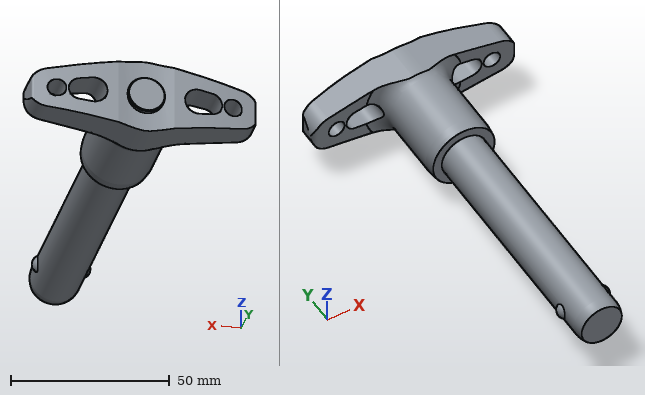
import cadquery as cq
import math


shank_length = 84.0
shank_radius = 8.15
tip_length = 3.5
tip_radius = 7.4
tip_mid_radius = 8.0

ball_radius = 2.9
ball_reach = 9.45
ball_from_tip = 11.4

collar_radius = 11.75
collar_rim_radius = 11.5
collar_face_radius = 11.3
collar_chamfer_length = 1.5
collar_taper_start = 3.8
collar_neck_start = 25.4

button_back = 42.2
button_radius = 6.0
button_edge_chamfer = 0.3

handle_half_length = 37.4
handle_middle_radius = 12.33
handle_end_radius = 6.9
handle_end_center = handle_half_length - handle_end_radius

valley_back = button_back - 1.65
valley_half_width = 9.0
valley_edge_back = button_back - 0.55
hump_mid_x = 22.3
hump_mid_back = button_back - 1.45
shoulder_x = 36.2
shoulder_back = button_back - 3.95
shoulder_round = 0.8

end_front = button_back - 12.35
middle_front = button_back - 11.4
front_corner_radius = 1.8
end_widest_back = end_front + 2.1

neck_radius = 17.9
neck_height = 5.2
neck_overlap = 1.0

small_hole_x = 28.5
small_hole_radius = 2.95
slot_inner_x = 16.85
slot_inner_radius = 4.3
slot_outer_x = 21.1
slot_outer_radius = 3.7


def tapered_outline(plane, near_x, near_radius, far_x, far_radius):
    """Outline of two circles on the X axis joined by their outer tangents."""
    tilt = math.asin((near_radius - far_radius) / (far_x - near_x))
    sine = math.sin(tilt)
    cosine = math.cos(tilt)
    near_tangent = (near_x + near_radius * sine, near_radius * cosine)
    far_tangent = (far_x + far_radius * sine, far_radius * cosine)
    return (
        plane.moveTo(*near_tangent)
        .lineTo(*far_tangent)
        .threePointArc((far_x + far_radius, 0), (far_tangent[0], -far_tangent[1]))
        .lineTo(near_tangent[0], -near_tangent[1])
        .threePointArc((near_x - near_radius, 0), near_tangent)
        .close()
    )


def both_sides(body):
    """Join a body with its mirror image across the YZ plane."""
    return body.union(body.mirror("YZ"))


def back_plane():
    """XZ plane behind the handle; positive extrusion runs toward -Y."""
    return cq.Workplane("XZ", origin=(0, button_back, 0))


def make_handle():
    bar_depth = button_back - collar_neck_start
    half_bar = tapered_outline(
        back_plane(), 0, handle_middle_radius, handle_end_center, handle_end_radius
    ).extrude(bar_depth)
    bar = both_sides(half_bar)

    profile = (
        cq.Workplane("XY")
        .moveTo(-valley_half_width, valley_edge_back)
        .threePointArc((0, valley_back), (valley_half_width, valley_edge_back))
        .threePointArc((hump_mid_x, hump_mid_back), (shoulder_x, shoulder_back))
        .lineTo(handle_half_length, end_widest_back)
        .lineTo(handle_half_length, end_front)
        .threePointArc((0, middle_front), (-handle_half_length, end_front))
        .lineTo(-handle_half_length, end_widest_back)
        .lineTo(-shoulder_x, shoulder_back)
        .threePointArc((-hump_mid_x, hump_mid_back), (-valley_half_width, valley_edge_back))
        .close()
        .extrude(handle_middle_radius, both=True)
    )
    for x in (-handle_half_length, handle_half_length):
        corner = cq.selectors.NearestToPointSelector((x, end_front, 0))
        profile = profile.edges(corner).fillet(front_corner_radius)
    for x in (-shoulder_x, shoulder_x):
        corner = cq.selectors.NearestToPointSelector((x, shoulder_back, 0))
        profile = profile.edges(corner).fillet(shoulder_round)

    return bar.intersect(profile).union(make_neck(bar))


def make_neck(bar):
    """Concave ring blending the collar into the handle, trimmed to the bar outline."""
    neck_back = collar_neck_start + neck_height
    diagonal = math.sqrt(0.5)
    arc_mid = (
        neck_radius - (neck_radius - collar_radius) * diagonal,
        collar_neck_start + neck_height * diagonal,
    )
    neck = (
        cq.Workplane("XY")
        .moveTo(0, collar_neck_start)
        .lineTo(collar_radius, collar_neck_start)
        .threePointArc(arc_mid, (neck_radius, neck_back))
        .lineTo(neck_radius, middle_front + neck_overlap)
        .lineTo(0, middle_front + neck_overlap)
        .close()
        .revolve(360, (0, 0, 0), (0, 1, 0))
    )
    return neck.intersect(bar)


def make_pin():
    """Shank, collar and button turned about the Y axis."""
    tip = -shank_length
    return (
        cq.Workplane("XY")
        .moveTo(0, tip)
        .lineTo(tip_radius, tip)
        .threePointArc((tip_mid_radius, tip + tip_length / 2), (shank_radius, tip + tip_length))
        .lineTo(shank_radius, 0)
        .lineTo(collar_face_radius, 0)
        .lineTo(collar_rim_radius, collar_chamfer_length)
        .lineTo(collar_radius, collar_taper_start)
        .lineTo(collar_radius, collar_neck_start)
        .lineTo(button_radius, collar_neck_start)
        .lineTo(button_radius, button_back - button_edge_chamfer)
        .lineTo(button_radius - button_edge_chamfer, button_back)
        .lineTo(0, button_back)
        .close()
        .revolve(360, (0, 0, 0), (0, 1, 0))
    )


def make_balls():
    ball = cq.Workplane("XY").sphere(ball_radius)
    ball = ball.translate((ball_reach - ball_radius, ball_from_tip - shank_length, 0))
    return both_sides(ball)


def make_openings():
    """A round hole and a tapered slot through each arm of the handle."""
    depth = button_back
    holes = back_plane().center(small_hole_x, 0).circle(small_hole_radius).extrude(depth)
    slot = tapered_outline(
        back_plane(), slot_inner_x, slot_inner_radius, slot_outer_x, slot_outer_radius
    ).extrude(depth)
    return both_sides(holes.union(slot))


result = make_handle().cut(make_openings()).union(make_pin()).union(make_balls())